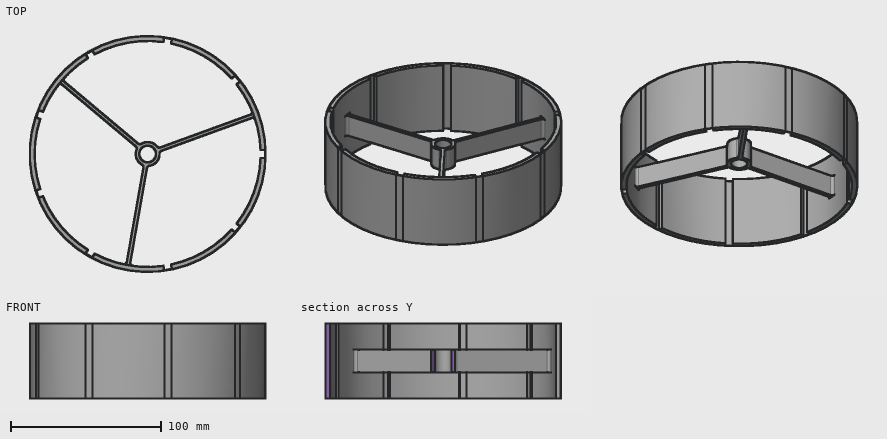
import cadquery as cq

rim_radius = 78.5
rim_height = 50.0
rim_thickness = 3.5
rim_inner_radius = rim_radius - rim_thickness

slot_count = 9
slot_width = 5.0
skin_thickness = 0.5
slot_clearance = 1.5

hub_radius = 8.0
bore_radius = 5.5
hub_height = 15.0
hub_bottom = (rim_height - hub_height) / 2
spoke_count = 3
spoke_width = 2.5
first_spoke_angle = 20.0
spoke_fillet = 1.9


def disc(radius, height, bottom=0.0):
    return cq.Workplane("XY").workplane(offset=bottom).circle(radius).extrude(height)


def radial_bar(length, width, height, bottom, angle):
    """Bar running from the axis outward at the given angle."""
    bar = cq.Workplane("XY").box(length, width, height, centered=(False, True, False))
    return bar.translate((0, 0, bottom)).rotate((0, 0, 0), (0, 0, 1), angle)


def make_slots():
    """Slot bars bounded outward by the inside of the skin."""
    slots = cq.Workplane("XY")
    for i in range(slot_count):
        angle = i * 360 / slot_count
        slots = slots.add(radial_bar(rim_radius, slot_width, rim_height, 0, angle))
    slot_zone = disc(rim_radius - skin_thickness, rim_height)
    slot_zone = slot_zone.cut(disc(rim_inner_radius - slot_clearance, rim_height))
    return slots.combine().intersect(slot_zone)


def make_spider():
    """Hub and spokes joined to a band of rim, with fillets at both spoke ends."""
    spider = disc(rim_radius, hub_height, hub_bottom)
    spider = spider.cut(disc(rim_inner_radius, hub_height, hub_bottom))
    spider = spider.union(disc(hub_radius, hub_height, hub_bottom))
    spoke_length = rim_radius - rim_thickness / 2
    for i in range(spoke_count):
        angle = first_spoke_angle + i * 360 / spoke_count
        spoke = radial_bar(spoke_length, spoke_width, hub_height, hub_bottom, angle)
        spider = spider.union(spoke)
    inside_rim = cq.selectors.BoxSelector(
        (-rim_inner_radius, -rim_inner_radius, hub_bottom),
        (rim_inner_radius, rim_inner_radius, hub_bottom + hub_height),
    )
    return spider.edges("|Z").edges(inside_rim).fillet(spoke_fillet)


rim = disc(rim_radius, rim_height).cut(disc(rim_inner_radius, rim_height))
bore = disc(bore_radius, rim_height)
result = rim.union(make_spider()).cut(make_slots()).cut(bore)